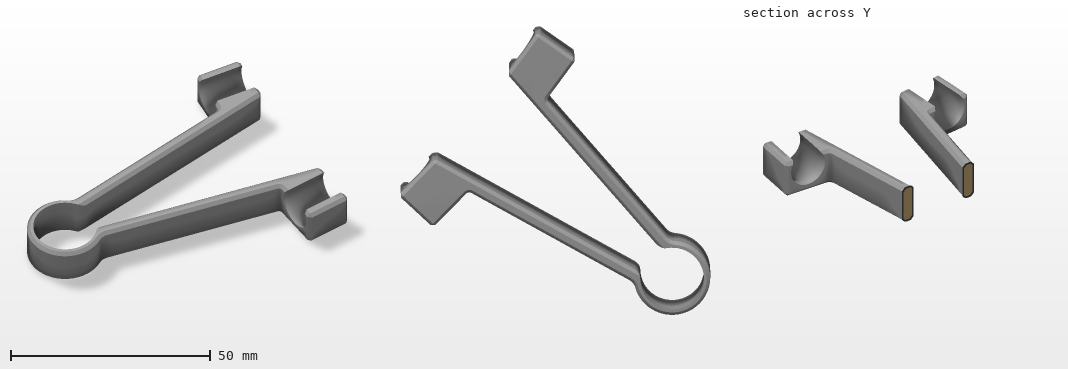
import cadquery as cq
import math

height = 10.0
chamfer = 0.8

ring_outer_radius = 9.55
ring_bore_radius = 7.95
neck_fillet = 3.3
throat_fillet = 3.0

arm_angle = 10.0
arm_width = 3.2
arm_axis_offset = 2.65

head_angle = 4.0
head_depth = 12.0
head_x = 21.7
head_y = 53.9
head_outer_reach = 6.45
head_fillet = 1.0
bore_radius = 5.0
bore_floor = 2.0

head_lean = math.radians(head_angle)
arm_slope = math.tan(math.radians(arm_angle))
arm_width_in_x = arm_width / math.cos(math.radians(arm_angle))


def inner_face_x(y):
    """X of the arm's inner face at a given Y."""
    return arm_axis_offset + y * arm_slope


def head_point(across, along):
    """Point in head coordinates, turned and moved to its place in plan."""
    x = head_x + across * math.cos(head_lean) - along * math.sin(head_lean)
    y = head_y + across * math.sin(head_lean) + along * math.cos(head_lean)
    return x, y


def inner_face_on_head(along):
    """Point where the inner arm face meets a line across the head."""
    x, y = head_point(0, along)
    across = (inner_face_x(y) - x) / (math.cos(head_lean) - arm_slope * math.sin(head_lean))
    return head_point(across, along)


def arm_profile():
    """Arm and head as one closed outline, starting inside the ring bore."""
    inner_tip = inner_face_on_head(head_depth)
    inner_root = inner_face_on_head(0)
    front_run = arm_width_in_x / (math.cos(head_lean) - arm_slope * math.sin(head_lean))
    arm_head_corner = (
        inner_root[0] + front_run * math.cos(head_lean),
        inner_root[1] + front_run * math.sin(head_lean),
    )
    return [
        (inner_face_x(0), 0),
        inner_tip,
        head_point(head_outer_reach, head_depth),
        head_point(head_outer_reach, 0),
        arm_head_corner,
        (inner_face_x(0) + arm_width_in_x, 0),
    ]


def both_sides(points):
    """The given plan points followed by their mirror images in X."""
    return points + [(-x, y) for x, y in points]


def clip_blank():
    """Filled ring with both arms and heads, rounded and chamfered, before the bores are cut."""
    profile = arm_profile()
    inner_tip, outer_tip, outer_front, arm_head_corner = profile[1:5]
    arm = cq.Workplane("XY").polyline(profile).close().extrude(height)
    throat_right = [(inner_face_x(0), 0), (inner_face_x(head_y), head_y)]
    throat_left = [(-x, y) for x, y in reversed(throat_right)]
    throat = cq.Workplane("XY").polyline(throat_right + throat_left).close().extrude(height)
    ring = cq.Workplane("XY").circle(ring_outer_radius).extrude(height)
    blank = ring.cut(throat).union(arm).union(arm.mirror("YZ"))

    for point in both_sides([neck_corner()]):
        blank = blank.edges(near_upright(point)).fillet(neck_fillet)
    for point in both_sides([arm_head_corner]):
        blank = blank.edges(near_upright(point)).fillet(head_fillet)

    rims = blank.faces("<Z or >Z").edges().filter(is_outside_ring_bore)
    head_corners = both_sides([inner_tip, outer_tip, outer_front])
    uprights = [blank.edges(near_upright(point)).val() for point in head_corners]
    return blank.newObject(rims.vals() + uprights).chamfer(chamfer)


def near_upright(point):
    """Selector for the upright edge passing through a plan point."""
    return cq.selectors.NearestToPointSelector((point[0], point[1], height / 2))


def neck_corner():
    """Crossing of the outer arm face with the ring's outer circle."""
    start = inner_face_x(0) + arm_width_in_x
    a = 1 + arm_slope**2
    b = start * arm_slope
    c = start**2 - ring_outer_radius**2
    y = (-b + math.sqrt(b**2 - a * c)) / a
    return start + y * arm_slope, y


def is_outside_ring_bore(edge):
    """True for edges whose middle lies beyond the ring bore."""
    middle = edge.positionAt(0.5)
    return math.hypot(middle.x, middle.y) > ring_bore_radius


def head_bore():
    """Cylinder running along the head, open through its top."""
    start = head_point(0, -head_depth)
    direction = cq.Vector(-math.sin(head_lean), math.cos(head_lean), 0)
    return cq.Workplane(
        cq.Solid.makeCylinder(
            bore_radius, 3 * head_depth, cq.Vector(*start, bore_floor + bore_radius), direction
        )
    )


def throat_corner():
    """Crossing of the inner arm face with the ring bore."""
    a = 1 + arm_slope**2
    b = arm_axis_offset * arm_slope
    c = arm_axis_offset**2 - ring_bore_radius**2
    y = (-b + math.sqrt(b**2 - a * c)) / a
    return inner_face_x(y), y


def throat_trim():
    """Sliver removed to round the sharp corner where the arm meets the ring bore."""
    lean = math.radians(arm_angle)
    centre_distance = ring_bore_radius + throat_fillet
    from_axis_line = arm_axis_offset * math.cos(lean) + throat_fillet
    along_axis_line = math.sqrt(centre_distance**2 - from_axis_line**2)
    centre_x = from_axis_line * math.cos(lean) + along_axis_line * math.sin(lean)
    centre_y = along_axis_line * math.cos(lean) - from_axis_line * math.sin(lean)
    touch_arm = (centre_x - throat_fillet * math.cos(lean), centre_y + throat_fillet * math.sin(lean))
    bore_ratio = ring_bore_radius / centre_distance
    touch_bore = (centre_x * bore_ratio, centre_y * bore_ratio)
    rounding = cq.Workplane("XY").center(centre_x, centre_y).circle(throat_fillet).extrude(height)
    return (
        cq.Workplane("XY")
        .polyline([throat_corner(), touch_arm, (centre_x, centre_y), touch_bore])
        .close()
        .extrude(height)
        .cut(rounding)
    )


ring_bore = cq.Workplane("XY").circle(ring_bore_radius).extrude(height)
result = clip_blank().cut(ring_bore)
for cutter in (head_bore(), throat_trim()):
    result = result.cut(cutter).cut(cutter.mirror("YZ"))